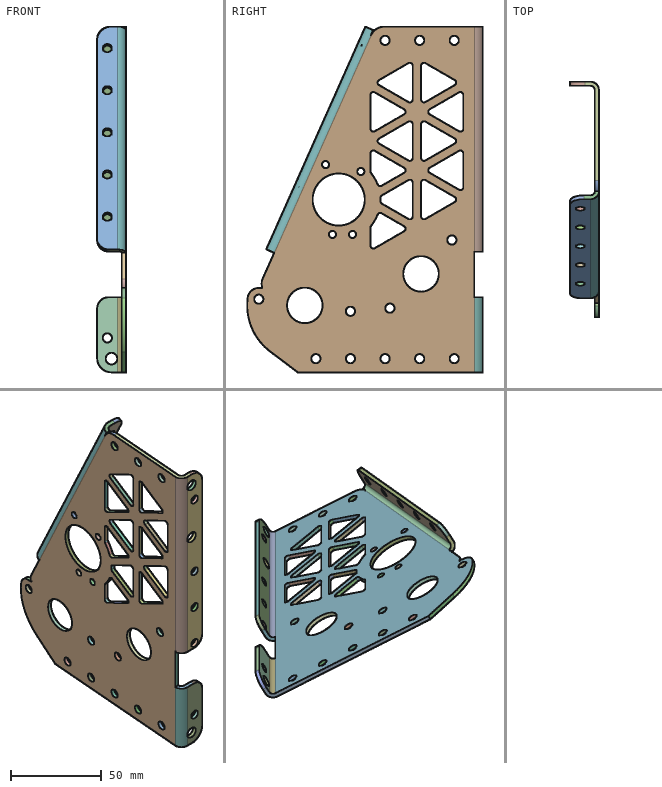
import cadquery as cq
import math

HEIGHT = 190.5
DEPTH = 130.0
FLANGE_HEIGHT = 16.0
BEND_RADIUS = 4.8
THICKNESS = BEND_RADIUS / 2

SCREW_DIAMETER = 5.0
PIN_DIAMETER = 6.3
WEB_PITCH = 19.0
FLANGE_PITCH = WEB_PITCH * 4 / 3
FLANGE_HOLE_RISE = 10.3
EDGE_MARGIN = 7.6
OUTER_CORNER = 8.0
INNER_CORNER = 6.5

LOWER_FLANGE_TOP = 41.5
UPPER_FLANGE_BOTTOM = 66.5
FIRST_FLANGE_HOLE = 19.0
LOWER_SCREW_STEPS = [0]
UPPER_SCREW_STEPS = [2, 3, 4, 6]
MIDDLE_PIN_HEIGHT = FIRST_FLANGE_HOLE + 5 * FLANGE_PITCH
PIN_RISE = 8.0

SLOPE_ANGLE = math.radians(24.0)
SLOPE_TOP = (64.8, HEIGHT)
SLOPE_LENGTH = 134.3
SLOPE_TOP_CORNER = 7.6
SLOPE_FIRST_HOLE = 13.0
SLOPE_HOLE_COUNT = 5

ROW_START = 15.8
TOP_ROW_COUNT = 3
BOTTOM_ROW_COUNT = 5
LOOSE_SCREWS = [(17.1, 73.0), (51.2, 35.5), (73.0, 33.7)]
NOSE_CENTER = (98.1, 37.0)
REAR_SHAFT = (34.1, 54.3)
SHAFT_DIAMETER = 19.5
MOTOR_CENTER = (79.5, 95.2)
MOTOR_DIAMETER = 28.5
MOTOR_CLEARANCE = 23.0
MOTOR_SCREWS = [(67.2, 110.7), (86.7, 114.5), (71.8, 76.0), (82.9, 76.0)]
MOTOR_SCREW_DIAMETER = 3.8
EAR_CENTER = (123.5, 40.4)
NOSE_RADIUS = DEPTH - NOSE_CENTER[0]
EAR_RADIUS = NOSE_RADIUS - math.dist(NOSE_CENTER, EAR_CENTER)
BOTTOM_FRONT = 102.0
SHOULDER_HEIGHT = 51.6
SHOULDER_RADIUS = 6.7

LATTICE_SIDE = 32.2
LATTICE_RIB = 4.8
LATTICE_CENTER = 36.4
LATTICE_CORNER = 1.5
REAR_COLUMN_LEVELS = range(0, 5)
FRONT_COLUMN_LEVELS = range(-1, 5)

WEB = cq.Plane(origin=(FLANGE_HEIGHT, 0, 0), xDir=(0, -1, 0), normal=(-1, 0, 0))
slope_sin = math.sin(SLOPE_ANGLE)
slope_cos = math.cos(SLOPE_ANGLE)


def on_circle(center, radius, angle):
    return (center[0] + radius * math.cos(angle), center[1] + radius * math.sin(angle))


def sloped_edge(height):
    """Forward position of the sloped bend line at a given height."""
    drop = SLOPE_TOP[1] - height
    return SLOPE_TOP[0] + drop * math.tan(SLOPE_ANGLE) - BEND_RADIUS / slope_cos


def web_blank():
    reach = math.dist((BOTTOM_FRONT, 0), NOSE_CENTER)
    toward_corner = math.atan2(-NOSE_CENTER[1], BOTTOM_FRONT - NOSE_CENTER[0])
    nose_start = toward_corner + math.acos(NOSE_RADIUS / reach)

    ear_start = math.atan2(EAR_CENTER[1] - NOSE_CENTER[1], EAR_CENTER[0] - NOSE_CENTER[0])

    shoulder = (sloped_edge(SHOULDER_HEIGHT), SHOULDER_HEIGHT)
    shoulder_center = on_circle(shoulder, -SHOULDER_RADIUS, SLOPE_ANGLE)
    ear_top = EAR_CENTER[1] + EAR_RADIUS
    notch_angle = math.asin((ear_top - shoulder_center[1]) / SHOULDER_RADIUS)

    corner_turn = math.pi / 2 - SLOPE_ANGLE
    corner_setback = OUTER_CORNER * math.tan(corner_turn / 2)
    corner_center = (sloped_edge(HEIGHT) - corner_setback, HEIGHT - OUTER_CORNER)
    corner_mid_angle = SLOPE_ANGLE + corner_turn / 2

    return (
        cq.Workplane(WEB)
        .moveTo(BEND_RADIUS, 0)
        .lineTo(BOTTOM_FRONT, 0)
        .lineTo(*on_circle(NOSE_CENTER, NOSE_RADIUS, nose_start))
        .threePointArc(
            on_circle(NOSE_CENTER, NOSE_RADIUS, 0),
            on_circle(NOSE_CENTER, NOSE_RADIUS, ear_start),
        )
        .threePointArc(
            on_circle(EAR_CENTER, EAR_RADIUS, math.pi / 4),
            on_circle(EAR_CENTER, EAR_RADIUS, math.pi / 2),
        )
        .lineTo(*on_circle(shoulder_center, SHOULDER_RADIUS, notch_angle))
        .threePointArc(
            on_circle(shoulder_center, SHOULDER_RADIUS, (notch_angle + SLOPE_ANGLE) / 2),
            shoulder,
        )
        .lineTo(*on_circle(corner_center, OUTER_CORNER, SLOPE_ANGLE))
        .threePointArc(
            on_circle(corner_center, OUTER_CORNER, corner_mid_angle),
            (corner_center[0], HEIGHT),
        )
        .lineTo(BEND_RADIUS, HEIGHT)
        .close()
        .extrude(THICKNESS)
    )


def web_holes(diameter, points):
    return cq.Workplane(WEB).pushPoints(points).circle(diameter / 2).extrude(THICKNESS)


def row(count, height):
    return [(ROW_START + i * WEB_PITCH, height) for i in range(count)]


def lattice_triangle(column, level):
    """One lattice opening.

    column counts cells from the middle rib, level counts half sides above the motor centre.
    """
    cell_height = LATTICE_SIDE * math.sqrt(3) / 2
    inset = LATTICE_RIB / 2
    points_forward = (column + level) % 2 == 0
    middle = MOTOR_CENTER[1] + level * LATTICE_SIDE / 2
    back = LATTICE_CENTER + column * cell_height
    front = back + cell_height
    if points_forward:
        base, tip = back + inset, front - 2 * inset
    else:
        base, tip = front - inset, back + 2 * inset
    half_base = abs(tip - base) / math.sqrt(3)
    opening = (
        cq.Workplane(WEB)
        .polyline([(base, middle - half_base), (base, middle + half_base), (tip, middle)])
        .close()
        .extrude(THICKNESS)
    )
    ring = cq.Workplane(WEB).center(*MOTOR_CENTER).circle(MOTOR_CLEARANCE).extrude(THICKNESS)
    return opening.cut(ring).edges("|X").fillet(LATTICE_CORNER)


def flange(length, start_corner, end_corner, holes):
    """Bent flange lying along y.

    x runs inward from the flange's outer face and z rises from the web's outer face;
    holes lists (position along the bend, rise, diameter).
    """
    diagonal = math.sqrt(0.5)
    outer_mid = BEND_RADIUS * (1 - diagonal)
    inner_mid = BEND_RADIUS - (BEND_RADIUS - THICKNESS) * diagonal
    body = (
        cq.Workplane("XZ")
        .moveTo(0, FLANGE_HEIGHT)
        .lineTo(0, BEND_RADIUS)
        .threePointArc((outer_mid, outer_mid), (BEND_RADIUS, 0))
        .lineTo(BEND_RADIUS, THICKNESS)
        .threePointArc((inner_mid, inner_mid), (THICKNESS, BEND_RADIUS))
        .lineTo(THICKNESS, FLANGE_HEIGHT)
        .close()
        .extrude(-length)
    )
    body = body.edges("|X and >Z and <Y").fillet(start_corner)
    body = body.edges("|X and >Z and >Y").fillet(end_corner)
    for along, rise, diameter in holes:
        hole = cq.Workplane("YZ").center(along, rise).circle(diameter / 2).extrude(THICKNESS)
        body = body.cut(hole)
    return body


def back_flange(bottom, top, bottom_corner, top_corner, screw_steps, pin_heights):
    screws = [(FIRST_FLANGE_HOLE + i * FLANGE_PITCH, FLANGE_HOLE_RISE, SCREW_DIAMETER) for i in screw_steps]
    pins = [(height, PIN_RISE, PIN_DIAMETER) for height in pin_heights]
    holes = [(height - bottom, rise, diameter) for height, rise, diameter in screws + pins]
    place = cq.Plane(origin=(FLANGE_HEIGHT, 0, bottom), xDir=(0, -1, 0), normal=(-1, 0, 0))
    return flange(top - bottom, bottom_corner, top_corner, holes).val().moved(cq.Location(place))


def sloped_flange():
    holes = [
        (SLOPE_FIRST_HOLE + i * FLANGE_PITCH, FLANGE_HOLE_RISE, SCREW_DIAMETER)
        for i in range(SLOPE_HOLE_COUNT)
    ]
    place = cq.Plane(
        origin=(FLANGE_HEIGHT, -SLOPE_TOP[0], SLOPE_TOP[1]),
        xDir=(0, slope_cos, -slope_sin),
        normal=(-1, 0, 0),
    )
    return flange(SLOPE_LENGTH, SLOPE_TOP_CORNER, INNER_CORNER, holes).val().moved(cq.Location(place))


web = web_blank()
screw_points = row(TOP_ROW_COUNT, HEIGHT - EDGE_MARGIN) + row(BOTTOM_ROW_COUNT, EDGE_MARGIN)
web = web.cut(web_holes(SCREW_DIAMETER, screw_points + LOOSE_SCREWS + [EAR_CENTER]))
web = web.cut(web_holes(SHAFT_DIAMETER, [REAR_SHAFT, NOSE_CENTER]))
web = web.cut(web_holes(MOTOR_DIAMETER, [MOTOR_CENTER]))
web = web.cut(web_holes(MOTOR_SCREW_DIAMETER, MOTOR_SCREWS))

for level in REAR_COLUMN_LEVELS:
    web = web.cut(lattice_triangle(-1, level))
for level in FRONT_COLUMN_LEVELS:
    web = web.cut(lattice_triangle(0, level))

lower_flange = back_flange(
    0,
    LOWER_FLANGE_TOP,
    OUTER_CORNER,
    INNER_CORNER,
    LOWER_SCREW_STEPS,
    [EDGE_MARGIN],
)
upper_flange = back_flange(
    UPPER_FLANGE_BOTTOM,
    HEIGHT,
    INNER_CORNER,
    OUTER_CORNER,
    UPPER_SCREW_STEPS,
    [MIDDLE_PIN_HEIGHT, HEIGHT - EDGE_MARGIN],
)

result = web.union(lower_flange).union(upper_flange).union(sloped_flange())